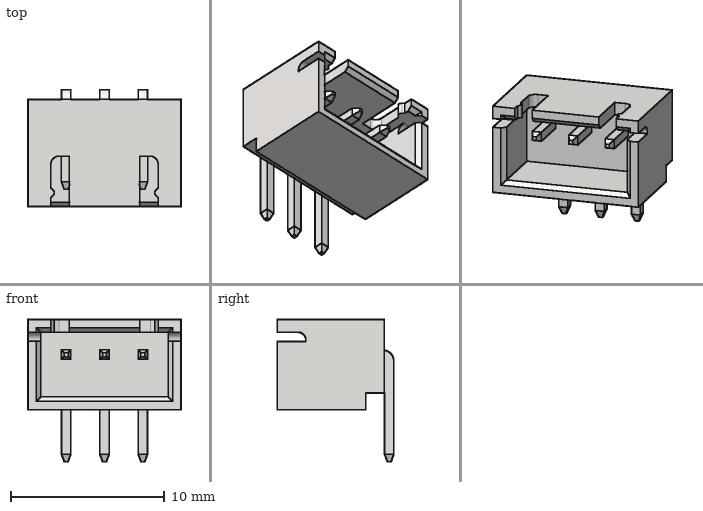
import cadquery as cq
import math

width = 10.01
depth = 7.0
height = 5.91
overall_depth = 7.63
overall_height = 9.3
rear_step_depth = 1.2
rear_step_height = 1.1

wall = 0.85
cavity_depth = 4.5
mouth_chamfer = 0.3
cavity_width = width - 2 * wall
cavity_height = height - 2 * wall

side_slot_length = 1.87
side_slot_height = 0.59
side_slot_radius = 0.5
side_slot_top = height - wall

latch_slot_inner = 2.29
latch_slot_outer = 3.49
latch_slot_length = 3.28
latch_slot_radius = 0.5
bump_centre = 0.9
bump_half_length = 0.31
bump_radius = 0.22

pin_count = 3
pin_pitch = 2.5
pin_size = 0.62
pin_axis_z = height - 2.3
pin_front = 1.12
tip_length = 0.5
tip_size = 0.25
pin_rear = overall_depth
pin_bottom = height - overall_height
outer_bend_radius = 0.75
inner_bend_radius = outer_bend_radius - pin_size


def make_housing():
    """L-shaped side profile extruded across the width."""
    return (
        cq.Workplane("YZ")
        .polyline([
            (0, 0),
            (depth - rear_step_depth, 0),
            (depth - rear_step_depth, rear_step_height),
            (depth, rear_step_height),
            (depth, height),
            (0, height),
        ])
        .close()
        .extrude(width / 2, both=True)
    )


def make_cavity():
    """Rectangular pocket whose mouth flares out at 45 degrees."""
    middle_z = height / 2
    pocket = (
        cq.Workplane("XZ", origin=(0, 0, middle_z))
        .rect(cavity_width, cavity_height)
        .extrude(-cavity_depth)
    )
    flare = (
        cq.Workplane("XZ", origin=(0, 0, middle_z))
        .rect(cavity_width + 2 * mouth_chamfer, cavity_height + 2 * mouth_chamfer)
        .workplane(offset=-mouth_chamfer)
        .rect(cavity_width, cavity_height)
        .loft(ruled=True)
    )
    return pocket.union(flare)


def make_side_slots():
    """One cutter through both side walls, rounded at its inner upper corner."""
    bottom = side_slot_top - side_slot_height
    return (
        cq.Workplane("YZ")
        .moveTo(0, bottom)
        .lineTo(side_slot_length, bottom)
        .lineTo(side_slot_length, side_slot_top - side_slot_radius)
        .radiusArc((side_slot_length - side_slot_radius, side_slot_top), -side_slot_radius)
        .lineTo(0, side_slot_top)
        .close()
        .extrude(width / 2, both=True)
    )


def make_latch_slot():
    """Roof slot on the +X side; a round-nosed 45 degree bump narrows its outer edge."""
    tangent_setback = bump_radius * math.sin(math.pi / 4)
    tangent_x = latch_slot_outer - bump_half_length + tangent_setback
    nose_x = latch_slot_outer - bump_half_length + bump_radius * (math.sqrt(2) - 1)
    return (
        cq.Workplane("XY", origin=(0, 0, height / 2))
        .moveTo(latch_slot_inner, 0)
        .lineTo(latch_slot_outer, 0)
        .lineTo(latch_slot_outer, bump_centre - bump_half_length)
        .lineTo(tangent_x, bump_centre - tangent_setback)
        .threePointArc((nose_x, bump_centre), (tangent_x, bump_centre + tangent_setback))
        .lineTo(latch_slot_outer, bump_centre + bump_half_length)
        .lineTo(latch_slot_outer, latch_slot_length - latch_slot_radius)
        .radiusArc((latch_slot_outer - latch_slot_radius, latch_slot_length), -latch_slot_radius)
        .lineTo(latch_slot_inner, latch_slot_length)
        .close()
        .extrude(height / 2)
    )


def make_pin(x):
    """Bent square pin with a tapered tip at each end."""
    half = pin_size / 2
    top = pin_axis_z + half
    shank_front = pin_front + tip_length
    shank_bottom = pin_bottom + tip_length
    leg_front = pin_rear - pin_size
    shank = (
        cq.Workplane("YZ", origin=(x, 0, 0))
        .moveTo(shank_front, top)
        .lineTo(pin_rear - outer_bend_radius, top)
        .radiusArc((pin_rear, top - outer_bend_radius), outer_bend_radius)
        .lineTo(pin_rear, shank_bottom)
        .lineTo(leg_front, shank_bottom)
        .lineTo(leg_front, top - outer_bend_radius)
        .radiusArc((leg_front - inner_bend_radius, top - pin_size), -inner_bend_radius)
        .lineTo(shank_front, top - pin_size)
        .close()
        .extrude(half, both=True)
    )
    front_tip = make_tip(cq.Workplane("XZ", origin=(x, shank_front, pin_axis_z)), 1)
    bottom_tip = make_tip(cq.Workplane("XY", origin=(x, pin_rear - half, shank_bottom)), -1)
    return shank.union(front_tip).union(bottom_tip)


def make_tip(base, direction):
    """Square frustum growing from the base plane along its normal (direction 1 or -1)."""
    return (
        base.rect(pin_size, pin_size)
        .workplane(offset=direction * tip_length)
        .rect(tip_size, tip_size)
        .loft(ruled=True)
    )


latch_slot = make_latch_slot()
result = (
    make_housing()
    .cut(make_cavity())
    .cut(make_side_slots())
    .cut(latch_slot)
    .cut(latch_slot.mirror("YZ"))
)
for index in range(pin_count):
    pin_x = (index - (pin_count - 1) / 2) * pin_pitch
    result = result.union(make_pin(pin_x))